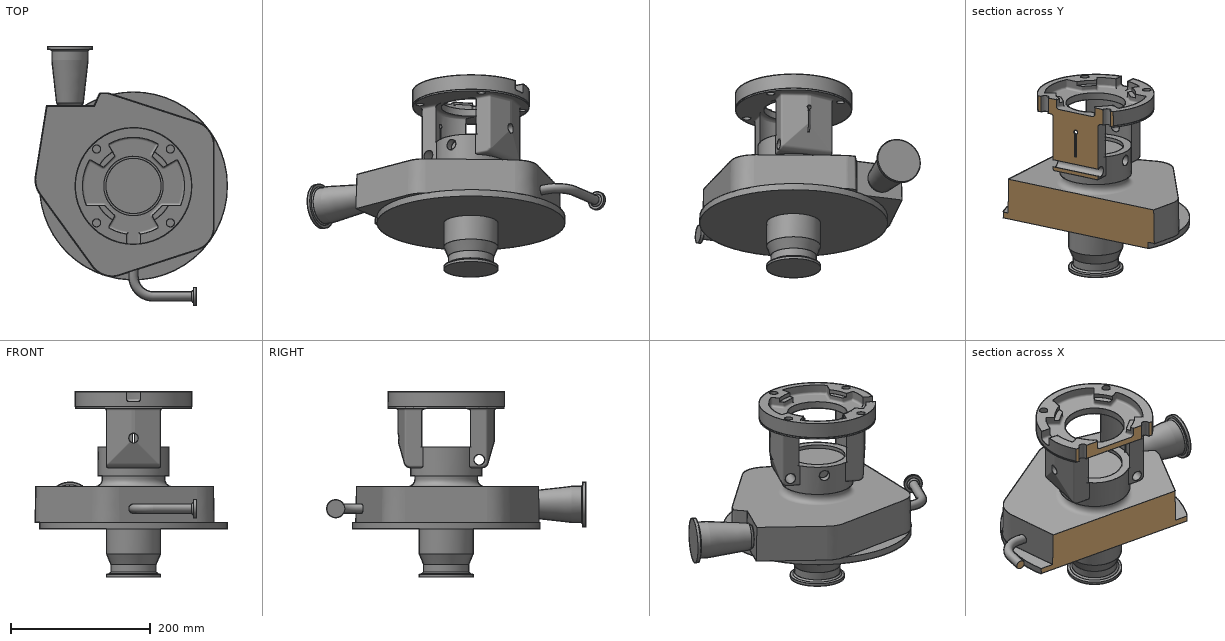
import cadquery as cq
import math


INLET_RIM_TOP = 4.0
INLET_NECK_BOTTOM = 7.5
INLET_CONE_BOTTOM = 18.5
INLET_CONE_TOP = 33.5
PLATE_BOTTOM = 69.0
PLATE_TOP = 78.5
VOLUTE_TOP = 129.8
COLLAR_BOTTOM = 145.0
LEG_BOTTOM = 156.5
COLLAR_TOP = 186.5
FLANGE_BOTTOM = 241.5
FLANGE_TOP = 265.5

INLET_RIM_R = 38.75
INLET_BODY_R = 38.75
INLET_NECK_R = 32.5
INLET_RIM_STEP = 2.5
INLET_RIM_BEVEL = 1.0
PLATE_R = 134.4

VOLUTE_SIDES = 5
VOLUTE_APOTHEM = 115.45
VOLUTE_DRAFT = 1.15
VOLUTE_CORNER_R = 35.0
OUTLET_FACE_Y = 114.8
OUTLET_FACE_LEFT = -124.5
STEP_FOOT_X = -56.5
STEP_TOP_LEFT = -48.5
STEP_TOP_Y = 133.0
STEP_ROUND_LEFT = 3.0
STEP_ROUND_RIGHT = 10.0

NECK_R = 45.0
NECK_FILLET = 10.0
COLLAR_R = 51.0
COLLAR_BORE_R = 39.5
COLLAR_BORE_DEPTH = 5.0
COLLAR_HOLE_R = 7.5
COLLAR_HOLE_DEPTH = 12.0
COLLAR_HOLE_Z = 173.5

FLANGE_R = 83.5
FLANGE_EDGE_HEIGHT = 2.4
FLANGE_EDGE_STEP = 0.5
FLANGE_HOLE_R = 42.5
POCKET_SIDE_R = 73.0
POCKET_END_R = 69.5
POCKET_DEPTH = 14.0
POCKET_FILLET = 3.5
BOLT_CIRCLE_R = 74.6
BOLT_HOLE_R = 5.8
BOLT_ANGLES = (45, 135, 225, 315)
BOSS_INNER_R = 49.0
BOSS_HALF_WIDTH = 11.5
BOSS_FLANK_ANGLE = 15.0
BOSS_CORNER_R = 2.0
LEVEL_FLANK_Y = 28.0
REGISTER_R = 57.15
REGISTER_DEPTH = 5.5
NOTCH_WIDTH = 20.0

LEG_HALF_WIDTH = 38.75
LEG_BORE_R = 52.0
LEG_RIDGE_Y = 69.0
LEG_EDGE_Y = 58.7
LEG_RIDGE_HALF_WIDTH = 2.7
LEG_SLOPE_TOP_Z = 195.0
LEG_CORNER_R = 3.0
LEG_TOE_R = 9.0
LEG_TOP_FILLET = 3.5
LEG_HOLE_R = 6.8
LEG_HOLE_Z = 199.0
LEG_SIDE_HOLE_R = 7.5
LEG_SIDE_HOLE_Y = 47.3
LEG_SIDE_HOLE_Z = 168.0
LEG_SLOT_WIDTH = 2.5
LEG_SLOT_BOTTOM = 185.0
LEG_SLOT_TOP = 222.0
LEG_SLOT_EYE_R = 2.8

NOZZLE_X = -90.9
NOZZLE_Z = (PLATE_TOP + VOLUTE_TOP) / 2
NOZZLE_END_Y = 199.7
NOZZLE_RIM_R = 32.0
NOZZLE_RIM_T = 4.5
NOZZLE_RIM_STEP = 2.0
NOZZLE_BODY_R = 26.0
NOZZLE_CONE_START_Y = 179.5
NOZZLE_CONE_END_Y = 118.5
NOZZLE_SMALL_R = 19.2
NOZZLE_FOOT_R = 16.5
NOZZLE_OVERLAP = 5.0

DRAIN_Z = 98.0
DRAIN_R = 6.75
DRAIN_START_Y = -100.0
DRAIN_BEND_Y = -129.5
DRAIN_BEND_R = 28.5
DRAIN_END_X = 90.0
DRAIN_RIM_R = 13.0
DRAIN_RIM_T = 4.5
DRAIN_FLARE = 2.5


def cylinder(radius, bottom, top):
    return cq.Workplane("XY").workplane(offset=bottom).circle(radius).extrude(top - bottom)


def cross_hole(plane, origin, radius, length):
    return cq.Workplane(plane, origin=origin).circle(radius).extrude(length)


def polar(radius, angle):
    return (radius * math.cos(math.radians(angle)), radius * math.sin(math.radians(angle)))


def make_axis_body():
    """Inlet spigot, back plate, flared neck and collar as one turned profile."""
    flare_top = VOLUTE_TOP + NECK_FILLET
    sag = NECK_FILLET * (1 - math.sqrt(0.5))
    return (
        cq.Workplane("XZ")
        .moveTo(0, 0)
        .lineTo(INLET_RIM_R, 0)
        .lineTo(INLET_RIM_R, INLET_RIM_TOP)
        .lineTo(INLET_NECK_R + INLET_RIM_STEP, INLET_RIM_TOP + INLET_RIM_BEVEL)
        .lineTo(INLET_NECK_R, INLET_NECK_BOTTOM)
        .lineTo(INLET_NECK_R, INLET_CONE_BOTTOM)
        .lineTo(INLET_BODY_R, INLET_CONE_TOP)
        .lineTo(INLET_BODY_R, PLATE_BOTTOM)
        .lineTo(PLATE_R, PLATE_BOTTOM)
        .lineTo(PLATE_R, PLATE_TOP)
        .lineTo(NECK_R + NECK_FILLET, PLATE_TOP)
        .lineTo(NECK_R + NECK_FILLET, VOLUTE_TOP)
        .threePointArc((NECK_R + sag, VOLUTE_TOP + sag), (NECK_R, flare_top))
        .lineTo(NECK_R, COLLAR_BOTTOM)
        .lineTo(COLLAR_R, COLLAR_BOTTOM)
        .lineTo(COLLAR_R, COLLAR_TOP)
        .lineTo(0, COLLAR_TOP)
        .close()
        .revolve(360, (0, 0, 0), (0, 1, 0))
    )


def make_volute():
    corner_r = VOLUTE_APOTHEM / math.cos(math.pi / VOLUTE_SIDES)
    corner_step = 360 / VOLUTE_SIDES
    main_corners = [polar(corner_r, 180 + i * corner_step) for i in range(VOLUTE_SIDES - 1)]
    x0, y0 = main_corners[-1]
    side_slope = math.tan(math.radians(90 - corner_step))
    side_end = (x0 - (STEP_TOP_Y - y0) / side_slope, STEP_TOP_Y)
    step_top = (STEP_TOP_LEFT, STEP_TOP_Y)
    points = main_corners + [
        side_end,
        step_top,
        (STEP_FOOT_X, OUTLET_FACE_Y),
        (OUTLET_FACE_LEFT, OUTLET_FACE_Y),
    ]
    roundings = [(corner, VOLUTE_CORNER_R) for corner in main_corners]
    roundings += [(side_end, STEP_ROUND_RIGHT), (step_top, STEP_ROUND_LEFT)]
    sketch = cq.Sketch().polygon(points + points[:1])
    for (x, y), radius in roundings:
        corner = cq.selectors.NearestToPointSelector((x, y, 0))
        sketch = sketch.reset().vertices(corner).fillet(radius)
    return (
        cq.Workplane("XY")
        .workplane(offset=PLATE_TOP)
        .placeSketch(sketch.reset())
        .extrude(VOLUTE_TOP - PLATE_TOP, taper=VOLUTE_DRAFT)
    )


def make_nozzle():
    rim_back = NOZZLE_END_Y - NOZZLE_RIM_T
    body_start = rim_back - NOZZLE_RIM_STEP
    foot_y = OUTLET_FACE_Y - NOZZLE_OVERLAP
    profile = [
        (0, foot_y),
        (NOZZLE_FOOT_R, foot_y),
        (NOZZLE_FOOT_R, OUTLET_FACE_Y),
        (NOZZLE_SMALL_R, NOZZLE_CONE_END_Y),
        (NOZZLE_BODY_R, NOZZLE_CONE_START_Y),
        (NOZZLE_BODY_R, body_start),
        (NOZZLE_BODY_R + NOZZLE_RIM_STEP, rim_back),
        (NOZZLE_RIM_R, rim_back),
        (NOZZLE_RIM_R, NOZZLE_END_Y),
        (0, NOZZLE_END_Y),
    ]
    nozzle = cq.Workplane("XY").polyline(profile).close().revolve(360, (0, 0, 0), (0, 1, 0))
    return nozzle.translate((NOZZLE_X, 0, NOZZLE_Z))


def make_drain():
    run_y = DRAIN_BEND_Y - DRAIN_BEND_R
    sag = DRAIN_BEND_R * (1 - math.sqrt(0.5))
    path = (
        cq.Workplane("XY", origin=(0, 0, DRAIN_Z))
        .moveTo(0, DRAIN_START_Y)
        .lineTo(0, DRAIN_BEND_Y)
        .threePointArc((sag, run_y + sag), (DRAIN_BEND_R, run_y))
        .lineTo(DRAIN_END_X, run_y)
    )
    pipe = cq.Workplane("XZ", origin=(0, DRAIN_START_Y, DRAIN_Z)).circle(DRAIN_R).sweep(path)
    rim_back = DRAIN_END_X - DRAIN_RIM_T
    rim = (
        cq.Workplane("XY")
        .polyline([
            (rim_back - DRAIN_FLARE, 0),
            (rim_back - DRAIN_FLARE, DRAIN_R),
            (rim_back, DRAIN_R + DRAIN_FLARE),
            (rim_back, DRAIN_RIM_R),
            (DRAIN_END_X, DRAIN_RIM_R),
            (DRAIN_END_X, 0),
        ])
        .close()
        .revolve(360, (0, 0, 0), (1, 0, 0))
        .translate((0, run_y, DRAIN_Z))
    )
    return pipe.union(rim)


def make_leg():
    """Leg on the -Y side: ridged outer face, sloped toe, before boring its inner face."""
    plan = [
        (-LEG_HALF_WIDTH, 0),
        (-LEG_HALF_WIDTH, -LEG_EDGE_Y),
        (-LEG_RIDGE_HALF_WIDTH, -LEG_RIDGE_Y),
        (LEG_RIDGE_HALF_WIDTH, -LEG_RIDGE_Y),
        (LEG_HALF_WIDTH, -LEG_EDGE_Y),
        (LEG_HALF_WIDTH, 0),
    ]
    height = FLANGE_BOTTOM - LEG_BOTTOM
    leg = cq.Workplane("XY").workplane(offset=LEG_BOTTOM).polyline(plan).close().extrude(height)
    lean = (LEG_RIDGE_Y - LEG_EDGE_Y) / (LEG_HALF_WIDTH - LEG_RIDGE_HALF_WIDTH)
    toe_y = LEG_RIDGE_Y - lean * (LEG_SLOPE_TOP_Z - LEG_BOTTOM)
    side = [
        (0, LEG_BOTTOM),
        (-toe_y, LEG_BOTTOM),
        (-LEG_RIDGE_Y, LEG_SLOPE_TOP_Z),
        (-LEG_RIDGE_Y, FLANGE_BOTTOM),
        (0, FLANGE_BOTTOM),
    ]
    leg = leg.intersect(
        cq.Workplane("YZ").polyline(side).close().extrude(LEG_HALF_WIDTH, both=True)
    )
    toe_edge = cq.selectors.NearestToPointSelector((0, -toe_y, LEG_BOTTOM))
    leg = leg.edges(toe_edge).fillet(LEG_TOE_R)
    corner_edges = (
        cq.selectors.NearestToPointSelector((-LEG_HALF_WIDTH, -LEG_EDGE_Y, LEG_HOLE_Z))
        + cq.selectors.NearestToPointSelector((LEG_HALF_WIDTH, -LEG_EDGE_Y, LEG_HOLE_Z))
    )
    leg = leg.edges(corner_edges).fillet(LEG_CORNER_R)
    return leg.edges("|Y").edges("<Z").fillet(LEG_CORNER_R)


def make_bracket():
    front_leg = make_leg()
    back_leg = front_leg.rotate((0, 0, 0), (0, 0, 1), 180)
    legs = front_leg.union(back_leg)
    return legs.cut(cylinder(LEG_BORE_R, COLLAR_TOP, FLANGE_BOTTOM))


def make_boss(side, level_flank):
    """Wall left around a bolt hole on the -Y (level_flank) or +Y side; side is -1 or +1 in X."""
    reach = FLANGE_R - BOSS_INNER_R
    spread = BOSS_HALF_WIDTH + reach * math.tan(math.radians(BOSS_FLANK_ANGLE))
    diagonal = math.sqrt(0.5)

    def place(along, across):
        return ((along + across) * diagonal, (along - across) * diagonal)

    inner_level = place(BOSS_INNER_R, BOSS_HALF_WIDTH)
    outer_level = place(FLANGE_R, spread)
    if level_flank:
        inner_level = (BOSS_INNER_R / diagonal - LEVEL_FLANK_Y, LEVEL_FLANK_Y)
        outer_level = (FLANGE_R, LEVEL_FLANK_Y)
    outline = [
        inner_level,
        outer_level,
        (FLANGE_R, FLANGE_R),
        place(FLANGE_R, -spread),
        place(BOSS_INNER_R, -BOSS_HALF_WIDTH),
    ]
    y_side = -1 if level_flank else 1
    points = [(side * x, y_side * y) for x, y in outline]
    return cq.Workplane("XY").polyline(points).close().extrude(POCKET_DEPTH)


def make_flange():
    floor = FLANGE_TOP - POCKET_DEPTH
    flange = cylinder(FLANGE_R, FLANGE_BOTTOM + FLANGE_EDGE_HEIGHT, FLANGE_TOP)
    flange = flange.union(cylinder(FLANGE_R - FLANGE_EDGE_STEP, FLANGE_BOTTOM, FLANGE_TOP))
    side_band = cq.Workplane("XY").box(
        2 * FLANGE_R, 2 * POCKET_END_R * math.sqrt(0.5), POCKET_DEPTH, centered=(True, True, False)
    )
    pocket = cylinder(POCKET_SIDE_R, 0, POCKET_DEPTH).intersect(side_band)
    pocket = pocket.union(cylinder(POCKET_END_R, 0, POCKET_DEPTH))
    for side in (-1, 1):
        for level_flank in (False, True):
            pocket = pocket.cut(make_boss(side, level_flank))
    pocket = pocket.edges("|Z").fillet(BOSS_CORNER_R)
    notch = cq.Workplane("XY").box(
        NOTCH_WIDTH, FLANGE_R, POCKET_DEPTH, centered=(True, False, False)
    ).translate((0, -FLANGE_R - POCKET_FILLET, 0))
    pocket = pocket.union(notch).faces("<Z").edges().fillet(POCKET_FILLET)
    pocket = pocket.translate((0, 0, floor))
    register = cylinder(REGISTER_R, FLANGE_TOP - REGISTER_DEPTH, FLANGE_TOP)
    flange = flange.cut(pocket).cut(register)
    flange = flange.cut(cylinder(FLANGE_HOLE_R, FLANGE_BOTTOM, FLANGE_TOP))
    for angle in BOLT_ANGLES:
        x, y = polar(BOLT_CIRCLE_R, angle)
        flange = flange.cut(cylinder(BOLT_HOLE_R, FLANGE_BOTTOM, FLANGE_TOP).translate((x, y, 0)))
    return flange


def make_motor_mount():
    """Flange and legs together, with the joint between them rounded and the leg holes cut."""
    mount = make_bracket().union(make_flange())
    margin = 1.0
    for side in (-1, 1):
        joint = cq.selectors.BoxSelector(
            (-LEG_HALF_WIDTH - margin, side * LEG_BORE_R / 2, FLANGE_BOTTOM - margin),
            (LEG_HALF_WIDTH + margin, side * FLANGE_R, FLANGE_BOTTOM + margin),
        )
        mount = mount.edges(joint).fillet(LEG_TOP_FILLET)
    mount = mount.cut(cross_hole("XZ", (0, 0, LEG_HOLE_Z), LEG_HOLE_R, FLANGE_R))
    mount = mount.cut(cross_hole("XZ", (0, FLANGE_R, LEG_SLOT_TOP), LEG_SLOT_EYE_R, FLANGE_R))
    slot = cq.Workplane("XY").box(
        LEG_SLOT_WIDTH, FLANGE_R, LEG_SLOT_TOP - LEG_SLOT_BOTTOM, centered=(True, False, False)
    )
    return mount.cut(slot.translate((0, 0, LEG_SLOT_BOTTOM)))


body = make_axis_body().union(make_motor_mount())
body = body.union(make_volute()).union(make_nozzle()).union(make_drain())
body = body.cut(cylinder(COLLAR_BORE_R, COLLAR_TOP - COLLAR_BORE_DEPTH, COLLAR_TOP))
body = body.cut(cross_hole("YZ", (-COLLAR_R, 0, COLLAR_HOLE_Z), COLLAR_HOLE_R, COLLAR_HOLE_DEPTH))
side_hole_start = (-FLANGE_R, LEG_SIDE_HOLE_Y, LEG_SIDE_HOLE_Z)
body = body.cut(cross_hole("YZ", side_hole_start, LEG_SIDE_HOLE_R, 2 * FLANGE_R))
result = body